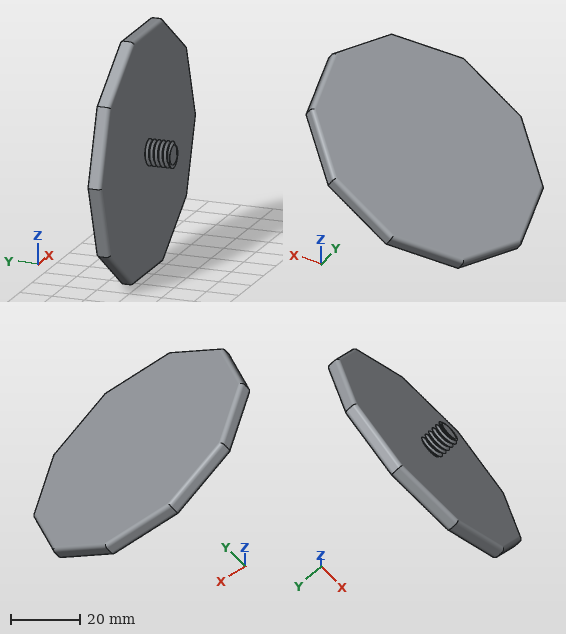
import cadquery as cq

plate_sides = 10
plate_across_corners = 77.3
plate_thickness = 4.4
rim_radius = 1.2

stud_length = 7.65
root_diameter = 5.9

crest_diameter = 7.95
thread_pitch = 1.4
thread_base_width = 1.2
thread_crest_width = 0.1
crest_to_stud_end = 1.0
thread_root_overlap = 0.1
turns_below_last_crest = 6
thread_turns = 8


def make_plate_with_core():
    """Decagonal plate with corners on the X axis, rounded rims and a plain round core."""
    plate = (
        cq.Workplane("XZ")
        .polygon(plate_sides, plate_across_corners)
        .extrude(-plate_thickness)
        .faces("<Y or >Y")
        .edges()
        .fillet(rim_radius)
    )
    core = cq.Workplane("XZ").circle(root_diameter / 2).extrude(stud_length)
    return plate.union(core)


def make_thread_ridge():
    """Helical ridge around Z, longer than the stud at both ends."""
    root_radius = root_diameter / 2
    crest_radius = crest_diameter / 2
    flank_slope = (thread_base_width - thread_crest_width) / 2 / (crest_radius - root_radius)
    inner_radius = root_radius - thread_root_overlap
    half_crest = thread_crest_width / 2
    half_inner = thread_base_width / 2 + flank_slope * thread_root_overlap
    start_height = stud_length - crest_to_stud_end - turns_below_last_crest * thread_pitch

    helix = cq.Wire.makeHelix(thread_pitch, thread_turns * thread_pitch, root_radius)
    ridge = (
        cq.Workplane("XZ")
        .moveTo(inner_radius, -half_inner)
        .lineTo(crest_radius, -half_crest)
        .lineTo(crest_radius, half_crest)
        .lineTo(inner_radius, half_inner)
        .close()
        .sweep(cq.Workplane(helix), isFrenet=True)
    )
    return ridge.translate((0, 0, start_height))


def make_thread():
    """Thread coil bored to the core diameter, trimmed flush at both ends, turned to -Y."""
    bore_allowance = 3 * thread_pitch
    bore = (
        cq.Workplane("XY")
        .workplane(offset=-bore_allowance)
        .circle(root_diameter / 2)
        .extrude(stud_length + 2 * bore_allowance)
    )
    trim_envelope = cq.Workplane("XY").circle(crest_diameter).extrude(stud_length)
    thread = make_thread_ridge().cut(bore).intersect(trim_envelope)
    return thread.rotate((0, 0, 0), (1, 0, 0), 90)


plate_with_core = make_plate_with_core()
thread = make_thread()

result = cq.Compound.makeCompound([plate_with_core.solids().val(), *thread.solids().vals()])